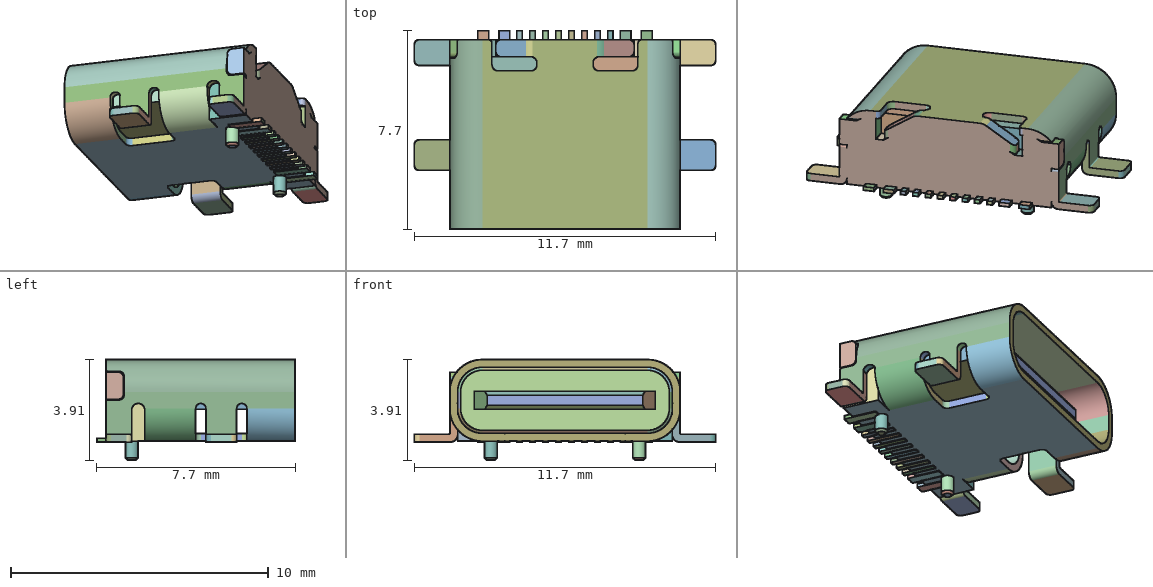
import cadquery as cq
import math

SHELL_WIDTH = 8.94
SHELL_HEIGHT = 3.17
SHELL_DEPTH = 7.35
SHELL_RADIUS = 1.26
WALL = 0.3

FOOT_SPAN = 11.7
FOOT_BOTTOM = -0.04
FOOT_CORNER = 0.2
OUTER_BEND_RADIUS = 0.27
INNER_BEND_RADIUS = 0.04
REAR_FOOT_LENGTH = 1.01
FRONT_FOOT_START = 2.27
FRONT_FOOT_LENGTH = 1.19

RELIEF_TOP = 1.46
RELIEF_WIDTH = 0.4
REAR_RELIEF_WIDTH = 0.5
OPENING_INNER_X = 2.34
OPENING_CORNER = 0.2

HOUSING_DEPTH = 1.73
HOUSING_CHAMFER = 0.12
TONGUE_TIP_Y = 0.85
TONGUE_WIDTH = 7.02
TONGUE_THICKNESS = 0.7
TONGUE_EDGE_CHAMFER = 0.15
TONGUE_CORNER_WIDTH = 0.49
TONGUE_CORNER_LENGTH = 0.82

LUG_LENGTH = 0.68
LUG_BOTTOM = 1.63
LUG_TOP = 2.68
LUG_CORNER = 0.19
LUG_GAP = 0.04
LUG_MOUTH_RADIUS = 0.07

PEG_X = 2.88
PEG_Y = 6.34
PEG_DIAMETER = 0.5
PEG_BOTTOM = -0.74
PEG_CHAMFER = 0.09

TAIL_LENGTH = 0.35
TAIL_THICKNESS = 0.15
NARROW_TAIL_WIDTH = 0.22
NARROW_TAIL_COUNT = 8
TAIL_PITCH = 0.5
WIDE_TAIL_WIDTH = 0.43
WIDE_TAIL_X = (2.35, 3.17)

FLAP_ROOT_X = 1.25
FLAP_TIP_X = 2.68
FLAP_LENGTH = 0.67
FLAP_ANGLE = 32.0
FLAP_BEND_RADIUS = 0.49
FLAP_CORNER = 0.2
NOTCH_INNER_X = 1.09
NOTCH_OUTER_X = 2.83
NOTCH_WIDTH = 0.55
NOTCH_CORNER = 0.25
NOTCH_MOUTH_RADIUS = 0.15

HALF_WIDTH = SHELL_WIDTH / 2
INNER_HALF = HALF_WIDTH - WALL
MID_Z = SHELL_HEIGHT / 2
ROOF_UNDERSIDE = SHELL_HEIGHT - WALL
FRONT_FOOT_END = FRONT_FOOT_START + FRONT_FOOT_LENGTH
REAR_FOOT_START = SHELL_DEPTH - REAR_FOOT_LENGTH
REAR_RELIEF_START = REAR_FOOT_START - REAR_RELIEF_WIDTH
FLAP_TURN = math.radians(FLAP_ANGLE)
FLAP_INNER_RADIUS = FLAP_BEND_RADIUS - WALL
FLAP_CENTER_Z = SHELL_HEIGHT - FLAP_BEND_RADIUS
FLAP_START = SHELL_DEPTH - FLAP_LENGTH
HOUSING_FRONT = SHELL_DEPTH - HOUSING_DEPTH


def box(x0, x1, y0, y1, z0, z1):
    return cq.Workplane("XY").box(x1 - x0, y1 - y0, z1 - z0, centered=False).translate((x0, y0, z0))


def both_sides(body):
    """The body together with its mirror image across the middle of the width."""
    return body.union(body.mirror("YZ"))


def rounded_bar(inset, y0, y1):
    """Racetrack section of the shell, shrunk by inset, between two Y places."""
    bar = box(inset - HALF_WIDTH, HALF_WIDTH - inset, y0, y1, inset, SHELL_HEIGHT - inset)
    return bar.edges("|Y").fillet(SHELL_RADIUS - inset)


def relief_slot(y0, width):
    """Round-topped slot through one side wall."""
    radius = width / 2
    round_z = RELIEF_TOP - radius
    slot = box(INNER_HALF, HALF_WIDTH, y0, y0 + width, 0, round_z)
    round_top = cq.Workplane("YZ", origin=(INNER_HALF, y0 + radius, round_z)).circle(radius).extrude(WALL)
    return slot.union(round_top)


def foot_opening(y0, y1):
    """Opening left in the floor and lower shell corner where the metal of a foot came from."""
    opening = box(OPENING_INNER_X, HALF_WIDTH, y0, y1, 0, SHELL_RADIUS)
    return opening.edges("|Z and <X").fillet(OPENING_CORNER)


def foot(y0, length):
    """Leg that drops straight from the side wall and turns outward."""
    leg = box(INNER_HALF, HALF_WIDTH, y0, y0 + length, FOOT_BOTTOM, RELIEF_TOP)
    pad = box(INNER_HALF, FOOT_SPAN / 2, y0, y0 + length, FOOT_BOTTOM, FOOT_BOTTOM + WALL)
    body = leg.union(pad)
    body = body.edges("|Y and <X and <Z").fillet(OUTER_BEND_RADIUS)
    inner_bend = cq.selectors.NearestToPointSelector((HALF_WIDTH, y0 + length / 2, FOOT_BOTTOM + WALL))
    body = body.edges(inner_bend).fillet(INNER_BEND_RADIUS)
    return body.edges("|Z and >X").fillet(FOOT_CORNER)


def lug(gap=0):
    """Side lug of the housing, or its window in the shell when gap is given."""
    body = box(INNER_HALF - WALL * 2, HALF_WIDTH, SHELL_DEPTH - LUG_LENGTH - gap, SHELL_DEPTH,
               LUG_BOTTOM - gap, LUG_TOP + gap)
    return body.edges("|X and <Y").fillet(LUG_CORNER + gap)


def bend_point(radius, turn):
    """Point on the flap bend, turned by an angle away from straight up."""
    return (FLAP_ROOT_X + radius * math.sin(turn), FLAP_CENTER_Z + radius * math.cos(turn))


def slope_point(radius, x):
    """Point on the straight slope that continues the bend of that radius."""
    bend_x, bend_z = bend_point(radius, FLAP_TURN)
    return (x, bend_z - (x - bend_x) * math.tan(FLAP_TURN))


def flap_underside():
    """Open outline along the lower face of the flap, from its root to its tip."""
    return (
        cq.Workplane("XZ", origin=(0, SHELL_DEPTH, 0))
        .moveTo(*bend_point(FLAP_INNER_RADIUS, 0))
        .threePointArc(
            bend_point(FLAP_INNER_RADIUS, FLAP_TURN / 2),
            bend_point(FLAP_INNER_RADIUS, FLAP_TURN),
        )
        .lineTo(*slope_point(FLAP_INNER_RADIUS, FLAP_TIP_X))
    )


def flap():
    """Flap curling down and outward from the roof, with rounded tip corners."""
    section = (
        flap_underside()
        .lineTo(*slope_point(FLAP_BEND_RADIUS, FLAP_TIP_X))
        .lineTo(*bend_point(FLAP_BEND_RADIUS, FLAP_TURN))
        .threePointArc(bend_point(FLAP_BEND_RADIUS, FLAP_TURN / 2), bend_point(FLAP_BEND_RADIUS, 0))
        .close()
    )
    trim = box(0, FLAP_TIP_X, FLAP_START, SHELL_DEPTH, 0, SHELL_HEIGHT)
    return section.extrude(FLAP_LENGTH).intersect(trim.edges("|Z and >X").fillet(FLAP_CORNER))


def flap_clearance():
    """Pocket in the housing that follows the underside of the flap and runs out level past its tip."""
    outer_x = NOTCH_OUTER_X + NOTCH_MOUTH_RADIUS
    _, floor_z = slope_point(FLAP_INNER_RADIUS, FLAP_TIP_X)
    section = (
        flap_underside()
        .lineTo(outer_x, floor_z)
        .lineTo(outer_x, SHELL_HEIGHT)
        .lineTo(FLAP_ROOT_X, SHELL_HEIGHT)
        .close()
    )
    return section.extrude(FLAP_LENGTH)


def roof_notch():
    """L-shaped opening in the roof around one flap."""
    slot = box(NOTCH_INNER_X, NOTCH_OUTER_X, FLAP_START - NOTCH_WIDTH, FLAP_START,
               ROOF_UNDERSIDE, SHELL_HEIGHT)
    slot = slot.edges("|Z").edges("<X or <Y").fillet(NOTCH_CORNER)
    mouth = box(FLAP_ROOT_X, NOTCH_OUTER_X, FLAP_START - NOTCH_CORNER, SHELL_DEPTH,
                ROOF_UNDERSIDE, SHELL_HEIGHT)
    return slot.union(mouth)


def round_rear_edge(body, x, z, radius):
    """Round the pair of rear edges whose middles lie at plus and minus x, at height z."""
    for side in (-1, 1):
        nearest = cq.selectors.NearestToPointSelector((side * x, SHELL_DEPTH, z))
        body = body.edges(nearest).fillet(radius)
    return body


def make_shell():
    shell = rounded_bar(0, 0, SHELL_DEPTH).cut(rounded_bar(WALL, 0, SHELL_DEPTH))
    openings = (
        foot_opening(FRONT_FOOT_START - RELIEF_WIDTH, FRONT_FOOT_END + RELIEF_WIDTH)
        .union(foot_opening(REAR_RELIEF_START, SHELL_DEPTH))
        .union(relief_slot(FRONT_FOOT_START - RELIEF_WIDTH, RELIEF_WIDTH))
        .union(relief_slot(FRONT_FOOT_END, RELIEF_WIDTH))
        .union(relief_slot(REAR_RELIEF_START, REAR_RELIEF_WIDTH))
        .union(roof_notch())
        .union(lug(LUG_GAP))
    )
    shell = shell.cut(both_sides(openings))
    shell = round_rear_edge(shell, NOTCH_OUTER_X, SHELL_HEIGHT - WALL / 2, NOTCH_MOUTH_RADIUS)
    shell = round_rear_edge(shell, INNER_HALF + WALL / 2, LUG_BOTTOM - LUG_GAP, LUG_MOUTH_RADIUS)
    shell = round_rear_edge(shell, INNER_HALF, LUG_TOP + LUG_GAP, LUG_MOUTH_RADIUS)
    feet = foot(FRONT_FOOT_START, FRONT_FOOT_LENGTH).union(foot(REAR_FOOT_START, REAR_FOOT_LENGTH))
    return shell.union(both_sides(feet))


def make_housing():
    housing = rounded_bar(WALL, HOUSING_FRONT, SHELL_DEPTH).faces("<Y").chamfer(HOUSING_CHAMFER)
    base = box(-INNER_HALF, INNER_HALF, REAR_RELIEF_START, SHELL_DEPTH, 0, MID_Z)
    housing = housing.union(base).union(both_sides(lug()))
    return housing.cut(both_sides(flap_clearance())).union(both_sides(flap()))


def make_tongue():
    tongue = box(-TONGUE_WIDTH / 2, TONGUE_WIDTH / 2, TONGUE_TIP_Y, SHELL_DEPTH,
                 MID_Z - TONGUE_THICKNESS / 2, MID_Z + TONGUE_THICKNESS / 2)
    tongue = tongue.edges("|Z and <Y").chamfer(TONGUE_CORNER_LENGTH, TONGUE_CORNER_WIDTH)
    return tongue.faces("<Y").edges("|X").chamfer(TONGUE_EDGE_CHAMFER)


def make_peg():
    height = MID_Z - PEG_BOTTOM
    peg = cq.Workplane("XY", origin=(PEG_X, PEG_Y, PEG_BOTTOM)).circle(PEG_DIAMETER / 2).extrude(height)
    return peg.faces("<Z").chamfer(PEG_CHAMFER)


def tail(x, width):
    return box(x - width / 2, x + width / 2, REAR_FOOT_START, SHELL_DEPTH + TAIL_LENGTH,
               FOOT_BOTTOM, FOOT_BOTTOM + TAIL_THICKNESS)


def make_tails():
    """Half of the contact tails: narrow ones from the middle outward, then the wide ones."""
    tails = cq.Workplane("XY")
    for index in range(NARROW_TAIL_COUNT // 2):
        tails = tails.add(tail((index + 0.5) * TAIL_PITCH, NARROW_TAIL_WIDTH))
    for x in WIDE_TAIL_X:
        tails = tails.add(tail(x, WIDE_TAIL_WIDTH))
    return tails.combine()


mirrored_parts = both_sides(make_peg().union(make_tails()))
result = make_shell().union(make_housing()).union(make_tongue()).union(mirrored_parts)